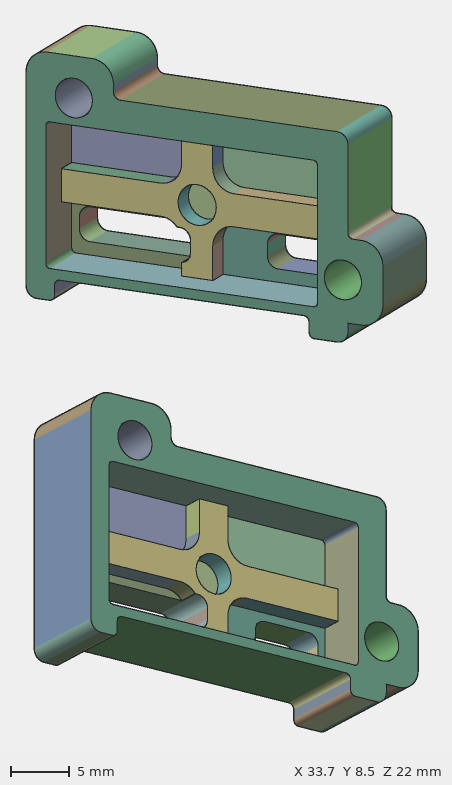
import cadquery as cq

depth = 8.5
total_length = 33.7
total_height = 22.0
body_right = 30.4
body_top = 18.65

boss_width = 8.25
ear_bottom = 1.82
ear_top = 9.33
ear_depth = 8.4
lobe_radius = 2.02
boss_root_radius = 0.67
ear_root_radius = 0.5
mount_diameter = 3.5
mount_centers = [(4.5, 18.25), (29.9, 5.6)]

recess_left = 2.7
recess_right = 26.7
recess_height = 1.92
outer_radius = 1.0
foot_inner_radius = 0.5

pocket_length = 25.65
pocket_height = 13.0
pocket_x = 14.7
pocket_z = 9.33
pocket_radius = 0.4
floor_depth = 5.0
rib_depth = 3.0
rib_width = 2.93
rib_radius = 2.02
center_hole_diameter = 3.6
center_hole_depth = 2.0

slot_spans = [(2.6, 14.05), (20.35, 26.82)]
slot_bottom = 4.0
slot_top = 7.1
slot_radius = 1.0


def block(x0, x1, z0, z1, y0, y1):
    """Axis-aligned block between opposite corners."""
    return cq.Workplane("XY").box(x1 - x0, y1 - y0, z1 - z0, centered=False).translate((x0, y0, z0))


def cylinder(x, z, diameter, y0, y1):
    """Cylinder along Y."""
    return cq.Workplane("XZ", origin=(x, y0, z)).circle(diameter / 2).extrude(y0 - y1)


def round_edges(solid, points, radius):
    """Fillet the depth-wise edges that pass nearest to the given (x, z) points."""
    for x, z in points:
        solid = solid.edges("|Y").edges(cq.selectors.NearestToPointSelector((x, depth / 2, z))).fillet(radius)
    return solid


def make_body():
    outline = [
        (0, 0),
        (recess_left, 0),
        (recess_left, recess_height),
        (recess_right, recess_height),
        (recess_right, 0),
        (body_right, 0),
        (body_right, body_top),
        (boss_width, body_top),
        (boss_width, total_height),
        (0, total_height),
    ]
    body = cq.Workplane("XZ").polyline(outline).close().extrude(-depth)
    body = round_edges(body, [(0, total_height), (boss_width, total_height)], lobe_radius)
    body = round_edges(body, [(boss_width, body_top)], boss_root_radius)
    body = round_edges(body, [(0, 0), (body_right, 0), (body_right, body_top)], outer_radius)
    recess_corners = [(x, z) for x in (recess_left, recess_right) for z in (0, recess_height)]
    return round_edges(body, recess_corners, foot_inner_radius)


def make_ear():
    """Side ear with a concave fillet where its top meets the body."""
    ear = block(mount_centers[1][0], total_length, ear_bottom, ear_top, 0, ear_depth)
    ear = ear.edges("|Y and >X").fillet(lobe_radius)
    root_x = body_right + ear_root_radius
    root_z = ear_top + ear_root_radius
    root = block(body_right, root_x, ear_top, root_z, 0, ear_depth)
    root = root.cut(cylinder(root_x, root_z, 2 * ear_root_radius, 0, ear_depth))
    return ear.union(root)


def make_ribs():
    """Cross-shaped ribs, rounded where the two bars meet."""
    half_length = pocket_length / 2
    half_height = pocket_height / 2
    half_rib = rib_width / 2
    ribs = block(
        pocket_x - half_length, pocket_x + half_length,
        pocket_z - half_rib, pocket_z + half_rib, rib_depth, floor_depth,
    )
    ribs = ribs.union(block(
        pocket_x - half_rib, pocket_x + half_rib,
        pocket_z - half_height, pocket_z + half_height, rib_depth, floor_depth,
    ))
    inner_corners = [
        (pocket_x + side * half_rib, pocket_z + level * half_rib)
        for side in (-1, 1) for level in (-1, 1)
    ]
    return round_edges(ribs, inner_corners, rib_radius)


def make_pocket():
    pocket = block(
        pocket_x - pocket_length / 2, pocket_x + pocket_length / 2,
        pocket_z - pocket_height / 2, pocket_z + pocket_height / 2, 0, floor_depth,
    )
    return pocket.edges("|Y").fillet(pocket_radius).cut(make_ribs())


result = make_body().union(make_ear()).cut(make_pocket())
for mount_x, mount_z in mount_centers:
    result = result.cut(cylinder(mount_x, mount_z, mount_diameter, 0, depth))
for slot_left, slot_right in slot_spans:
    slot = block(slot_left, slot_right, slot_bottom, slot_top, 0, depth)
    result = result.cut(slot.edges("|Y").fillet(slot_radius))
center_hole_end = rib_depth + center_hole_depth
result = result.cut(cylinder(pocket_x, pocket_z, center_hole_diameter, rib_depth, center_hole_end))